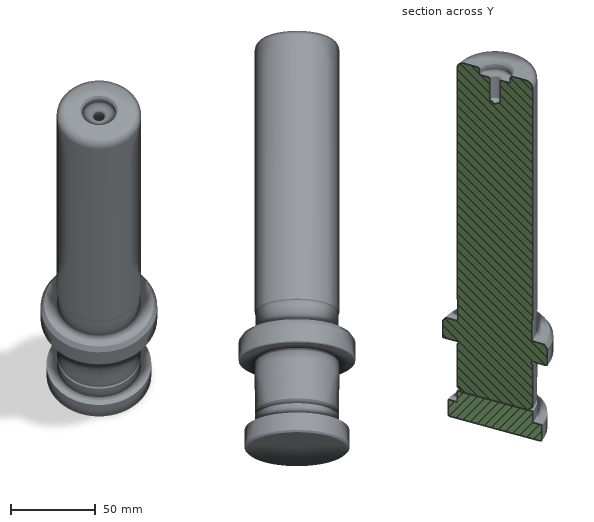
import cadquery as cq
import math


fit_radius = 24.98

ring_flange_radius = 31.0
ring_flange_top = 12.0
ring_edge_chamfer = 1.0
ring_neck_radius = fit_radius
ring_top = 20.0

shank_radius = 25.0
total_height = 255.0
foot_chamfer_height = 3.0
foot_chamfer_width = 3.0
fit_top = 37.5
undercut_radius = 24.2
undercut_height = 1.5

collar_radius = 34.5
collar_bottom = 55.0
collar_top = 70.0
collar_chamfer_height = 3.0
collar_chamfer_width = 2.1
collar_lower_chamfer = 0.5

neck_radius = 24.5
neck_top = 85.0
neck_fillet = 1.0
shoulder_chamfer_height = 0.5
top_fillet = 5.0

recess_radius = 10.0
recess_depth = 5.0
recess_chamfer_width = 1.0
recess_chamfer_depth = 1.5
centre_hole_radius = 3.4
centre_hole_depth = 16.0
centre_hole_chamfer = 0.7
drill_point_angle = 118.0


def revolve_around_z(profile):
    return profile.revolve(360, (0, 0, 0), (0, 1, 0))


def make_retaining_ring():
    profile = (
        cq.Workplane("XZ")
        .lineTo(ring_flange_radius - ring_edge_chamfer, 0)
        .lineTo(ring_flange_radius, ring_edge_chamfer)
        .lineTo(ring_flange_radius, ring_flange_top)
        .lineTo(ring_neck_radius, ring_flange_top)
        .lineTo(ring_neck_radius, ring_top)
        .lineTo(0, ring_top)
        .close()
    )
    return revolve_around_z(profile)


def make_pillar_body():
    top_arc_offset = top_fillet * math.sqrt(0.5)
    neck_arc_offset = neck_fillet * (1 - math.sqrt(0.5))
    profile = (
        cq.Workplane("XZ")
        .moveTo(0, ring_top)
        .lineTo(fit_radius - foot_chamfer_width, ring_top)
        .lineTo(fit_radius, ring_top + foot_chamfer_height)
        .lineTo(fit_radius, fit_top)
        .lineTo(shank_radius, fit_top)
        .lineTo(shank_radius, collar_bottom - undercut_height)
        .lineTo(undercut_radius, collar_bottom - undercut_height)
        .lineTo(undercut_radius, collar_bottom)
        .lineTo(collar_radius - collar_lower_chamfer, collar_bottom)
        .lineTo(collar_radius, collar_bottom + collar_lower_chamfer)
        .lineTo(collar_radius, collar_top - collar_chamfer_height)
        .lineTo(collar_radius - collar_chamfer_width, collar_top)
        .lineTo(neck_radius + neck_fillet, collar_top)
        .threePointArc(
            (neck_radius + neck_arc_offset, collar_top + neck_arc_offset),
            (neck_radius, collar_top + neck_fillet),
        )
        .lineTo(neck_radius, neck_top)
        .lineTo(shank_radius, neck_top + shoulder_chamfer_height)
        .lineTo(shank_radius, total_height - top_fillet)
        .threePointArc(
            (
                shank_radius - top_fillet + top_arc_offset,
                total_height - top_fillet + top_arc_offset,
            ),
            (shank_radius - top_fillet, total_height),
        )
        .lineTo(0, total_height)
        .close()
    )
    return revolve_around_z(profile)


def make_top_bores():
    recess_floor = total_height - recess_depth
    hole_bottom = recess_floor - centre_hole_depth
    point_depth = centre_hole_radius / math.tan(math.radians(drill_point_angle / 2))
    profile = (
        cq.Workplane("XZ")
        .moveTo(0, total_height)
        .lineTo(recess_radius + recess_chamfer_width, total_height)
        .lineTo(recess_radius, total_height - recess_chamfer_depth)
        .lineTo(recess_radius, recess_floor)
        .lineTo(centre_hole_radius + centre_hole_chamfer, recess_floor)
        .lineTo(centre_hole_radius, recess_floor - centre_hole_chamfer)
        .lineTo(centre_hole_radius, hole_bottom)
        .lineTo(0, hole_bottom - point_depth)
        .close()
    )
    return revolve_around_z(profile)


retaining_ring = make_retaining_ring()
pillar = make_pillar_body().cut(make_top_bores())

result = cq.Compound.makeCompound([retaining_ring.val(), pillar.val()])